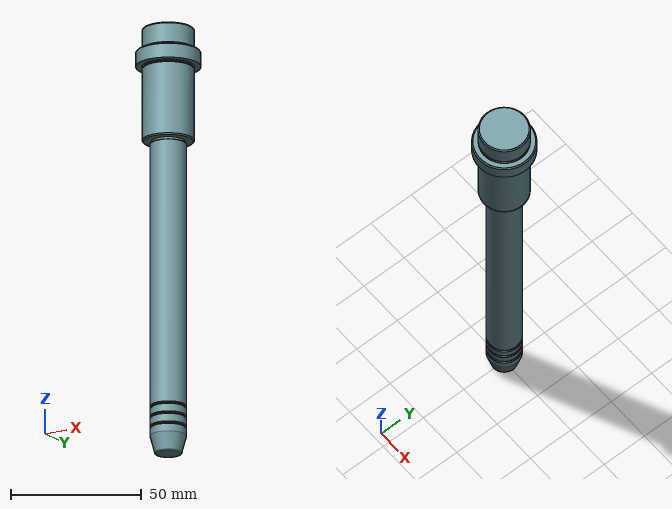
import cadquery as cq
import math

total_length = 170.0
head_radius = 10.0
collar_radius = 12.5
shaft_radius = 7.0

head_length = 9.0
collar_length = 6.0
sleeve_length = 30.0
tip_length = 7.0

edge_chamfer = 0.5

groove_width = 1.0
groove_depth = 0.5
groove_floor_width = 0.4
lubrication_groove_count = 3
lubrication_groove_pitch = 4.0

undercut_width = 1.0
undercut_depth = 0.5

tip_angle = 15.0
tip_edge_radius = 0.5

collar_top = total_length - head_length
collar_bottom = collar_top - collar_length
sleeve_bottom = collar_bottom - sleeve_length
undercut_bottom = sleeve_bottom - undercut_width


def cylinder(radius, bottom, top):
    """Solid cylinder on the Z axis between two heights."""
    return cq.Workplane("XY").workplane(offset=bottom).circle(radius).extrude(top - bottom)


def revolve_profile(points):
    """Solid of revolution about the Z axis from (radius, height) points."""
    return cq.Workplane("XZ").polyline(points).close().revolve(360, (0, 0, 0), (0, 1, 0))


def groove_ring(radius, bottom):
    """Ring that cuts a groove with sloping walls into a cylinder."""
    floor_radius = radius - groove_depth
    wall_height = (groove_width - groove_floor_width) / 2
    top = bottom + groove_width
    return revolve_profile(
        [
            (radius, bottom),
            (floor_radius, bottom + wall_height),
            (floor_radius, top - wall_height),
            (radius, top),
        ]
    )


def make_head_and_sleeve():
    """Head and sleeve of one diameter, with a groove on each side of the collar."""
    body = cylinder(head_radius, sleeve_bottom, total_length)
    body = body.faces("<Z or >Z").chamfer(edge_chamfer)
    body = body.cut(groove_ring(head_radius, collar_top))
    return body.cut(groove_ring(head_radius, collar_bottom - groove_width))


def make_collar():
    """Locating collar, chamfered on its upper edge only."""
    collar = cylinder(collar_radius, collar_bottom, collar_top)
    return collar.faces(">Z").chamfer(edge_chamfer)


def make_tip():
    """Tapered lead-in with a rounded lower edge."""
    end_radius = shaft_radius - tip_length * math.tan(math.radians(tip_angle))
    tip = revolve_profile([(0, 0), (end_radius, 0), (shaft_radius, tip_length), (0, tip_length)])
    return tip.faces("<Z").edges().fillet(tip_edge_radius)


def make_shaft():
    """Long shaft with an undercut below the sleeve and lubrication grooves above the tip."""
    shaft = cylinder(shaft_radius, tip_length, undercut_bottom)
    neck = cylinder(shaft_radius - undercut_depth, undercut_bottom, sleeve_bottom)
    for index in range(1, lubrication_groove_count + 1):
        groove_top = tip_length + index * lubrication_groove_pitch
        shaft = shaft.cut(groove_ring(shaft_radius, groove_top - groove_width))
    return shaft.union(neck)


result = make_head_and_sleeve().union(make_collar()).union(make_shaft()).union(make_tip())